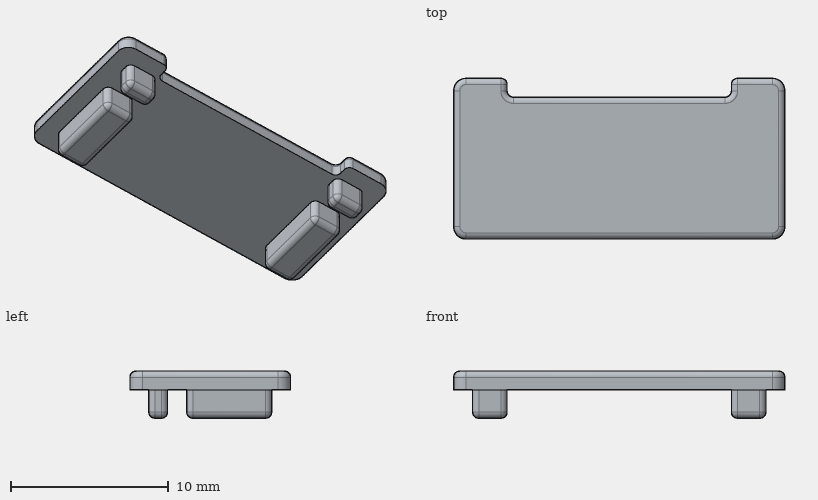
import cadquery as cq

plate_length = 21.0
plate_width = 10.2
plate_thickness = 1.2
outer_corner_radius = 0.8
edge_radius = 0.4

tab_length = 3.4
notch_depth = 1.2
notch_length = plate_length - 2 * tab_length

foot_inset = 1.2
foot_height = 1.8
foot_length_x = tab_length - foot_inset
rear_foot_width = 1.2
foot_gap = 1.2
front_foot_width = plate_width - 2 * foot_inset - rear_foot_width - foot_gap

foot_center_x = plate_length / 2 - foot_inset - foot_length_x / 2
front_foot_center_y = -plate_width / 2 + foot_inset + front_foot_width / 2
rear_foot_center_y = plate_width / 2 - foot_inset - rear_foot_width / 2


def make_plate():
    """Notched plate with its underside at Z = 0 and a rounded top rim."""
    blank = (
        cq.Workplane("XY")
        .box(plate_length, plate_width, plate_thickness, centered=(True, True, False))
        .edges("|Z")
        .fillet(outer_corner_radius)
    )
    notch = (
        cq.Workplane("XY")
        .center(0, plate_width / 2)
        .box(notch_length, 2 * notch_depth, plate_thickness, centered=(True, True, False))
    )
    notched = blank.cut(notch)
    notch_corners = cq.selectors.BoxSelector(
        (-notch_length / 2 - edge_radius, plate_width / 2 - notch_depth - edge_radius, 0),
        (notch_length / 2 + edge_radius, plate_width / 2 + edge_radius, plate_thickness),
    )
    rounded = notched.edges("|Z").edges(notch_corners).fillet(edge_radius)
    return rounded.faces(">Z").edges().fillet(edge_radius)


def make_foot(center_x, center_y, width):
    """Block hanging from the plate, rounded on its upright and bottom edges."""
    return (
        cq.Workplane("XY")
        .center(center_x, center_y)
        .rect(foot_length_x, width)
        .extrude(-foot_height)
        .edges("|Z or <Z")
        .fillet(edge_radius)
    )


result = make_plate()
for side in (-1, 1):
    result = result.union(make_foot(side * foot_center_x, front_foot_center_y, front_foot_width))
    result = result.union(make_foot(side * foot_center_x, rear_foot_center_y, rear_foot_width))